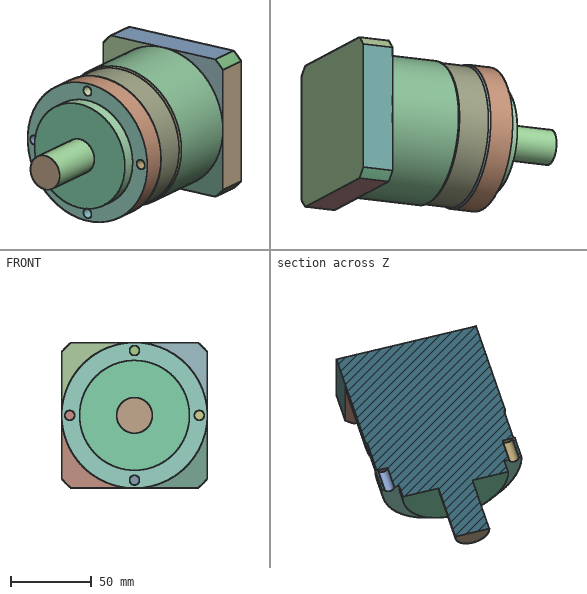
import cadquery as cq

total_length = 148.0
flange_thickness = 20.0
housing_length = 45.0
waist_length = 22.0
front_ring_length = 15.0
pilot_length = 8.5

body_diameter = 90.0
waist_depth = 0.9
waist_chamfer_length = 1.2
pilot_diameter = 68.0
shaft_diameter = 22.0
flange_width = body_diameter
flange_corner_diameter = 119.5

hole_diameter = 6.0
hole_circle_diameter = 80.0
hole_depth = front_ring_length
hole_count = 4

rear_y = total_length / 2
flange_front_y = rear_y - flange_thickness
waist_rear_y = flange_front_y - housing_length
waist_front_y = waist_rear_y - waist_length
ring_front_y = waist_front_y - front_ring_length
pilot_front_y = ring_front_y - pilot_length
shaft_tip_y = rear_y - total_length

body_radius = body_diameter / 2
waist_radius = body_radius - waist_depth


def plane_facing_front(y):
    """XZ plane at the given Y, with its normal along -Y."""
    return cq.Workplane("XZ", origin=(0, y, 0))


def make_turned_body():
    """Housing, recessed waist with sloped shoulders, front ring, pilot and shaft."""
    profile = [
        (0, flange_front_y),
        (body_radius, flange_front_y),
        (body_radius, waist_rear_y),
        (waist_radius, waist_rear_y - waist_chamfer_length),
        (waist_radius, waist_front_y + waist_chamfer_length),
        (body_radius, waist_front_y),
        (body_radius, ring_front_y),
        (pilot_diameter / 2, ring_front_y),
        (pilot_diameter / 2, pilot_front_y),
        (shaft_diameter / 2, pilot_front_y),
        (shaft_diameter / 2, shaft_tip_y),
        (0, shaft_tip_y),
    ]
    return cq.Workplane("XY").polyline(profile).close().revolve(360, (0, 0, 0), (0, 1, 0))


def make_flange():
    """Square motor flange whose corners are turned to a larger circle."""
    square = plane_facing_front(rear_y).rect(flange_width, flange_width).extrude(flange_thickness)
    corner_limit = plane_facing_front(rear_y).circle(flange_corner_diameter / 2).extrude(flange_thickness)
    return square.intersect(corner_limit)


def make_mounting_holes():
    """Blind holes entering the front ring, evenly spaced from the X axis."""
    return (
        plane_facing_front(ring_front_y + hole_depth)
        .polarArray(hole_circle_diameter / 2, 0, 360, hole_count)
        .circle(hole_diameter / 2)
        .extrude(hole_depth)
    )


result = make_turned_body().union(make_flange()).cut(make_mounting_holes())